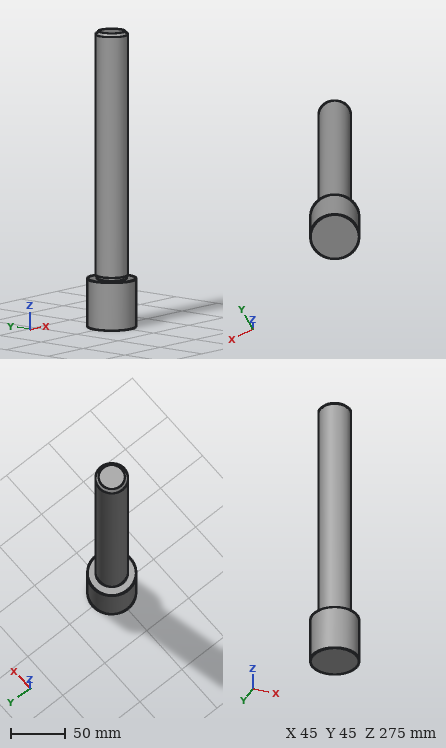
import cadquery as cq

total_length = 275.0
head_diameter = 45.0
head_height = 45.0
head_edge_chamfer = 0.5
shank_diameter = 30.0
tip_chamfer_radial = 3.0
tip_chamfer_length = 3.0
neck_diameter = 27.5
neck_height = 2.8

head_radius = head_diameter / 2
shank_radius = shank_diameter / 2
neck_radius = neck_diameter / 2
tip_radius = shank_radius - tip_chamfer_radial
tip_start = total_length - tip_chamfer_length
shank_start = head_height + neck_height

head = (
    cq.Workplane("XY")
    .circle(head_radius)
    .extrude(head_height)
    .faces("<Z or >Z")
    .edges()
    .chamfer(head_edge_chamfer)
)

shank = (
    cq.Workplane("XZ")
    .moveTo(0, head_height)
    .lineTo(neck_radius, head_height)
    .lineTo(neck_radius, shank_start)
    .lineTo(shank_radius, shank_start)
    .lineTo(shank_radius, tip_start)
    .lineTo(tip_radius, total_length)
    .lineTo(0, total_length)
    .close()
    .revolve(360, (0, 0, 0), (0, 1, 0))
)

result = head.union(shank)